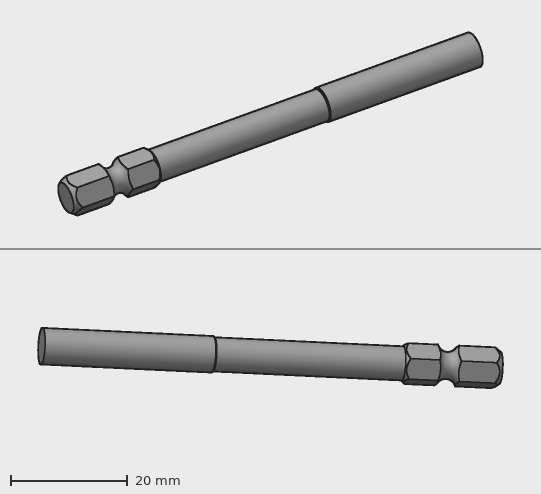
import cadquery as cq
import math

total_length = 80.0
hex_across_flats = 6.35
hex_corner_radius = hex_across_flats / math.sqrt(3)
hex_length = 17.0

front_chamfer_radius = 2.75
front_chamfer_length = 1.25
rear_chamfer_radius = 3.0
rear_chamfer_length = 0.75

groove_center_y = 9.3
groove_root_radius = 2.35
groove_arc_radius = 1.95

shaft_diameter = 5.9

sleeve_diameter = 6.3
sleeve_length = 30.0
sleeve_start_y = total_length - sleeve_length
sleeve_chamfer = 0.2


def turned_envelope():
    """Body of revolution that gives the hexagon its conical ends."""
    profile = (
        cq.Workplane("XY")
        .lineTo(front_chamfer_radius, 0)
        .lineTo(hex_corner_radius, front_chamfer_length)
        .lineTo(hex_corner_radius, hex_length - rear_chamfer_length)
        .lineTo(rear_chamfer_radius, hex_length)
        .lineTo(0, hex_length)
        .close()
    )
    return profile.revolve(360, (0, 0, 0), (0, 1, 0))


def retaining_groove():
    """Ring cutter with a circular section."""
    ring_radius = groove_root_radius + groove_arc_radius
    section = cq.Workplane("XY", origin=(ring_radius, groove_center_y, 0)).circle(groove_arc_radius)
    return section.revolve(360, (-ring_radius, 0, 0), (-ring_radius, 1, 0))


def hex_drive():
    """Hexagon with flats on top and bottom and corners on the X axis."""
    prism = (
        cq.Workplane("XZ")
        .polygon(6, 2 * hex_corner_radius)
        .extrude(-hex_length)
    )
    return prism.intersect(turned_envelope()).cut(retaining_groove())


def cylinder_along_y(diameter, start_y, length):
    """Round bar running in +Y from start_y."""
    return cq.Workplane("XZ", origin=(0, start_y, 0)).circle(diameter / 2).extrude(-length)


def shaft():
    """Slim round shaft between the hexagon and the sleeve."""
    return cylinder_along_y(shaft_diameter, hex_length, sleeve_start_y - hex_length)


def sleeve():
    """Thicker round end with its step edge broken by a small chamfer."""
    bar = cylinder_along_y(sleeve_diameter, sleeve_start_y, sleeve_length)
    return bar.faces("<Y").chamfer(sleeve_chamfer)


result = hex_drive().union(shaft()).union(sleeve())